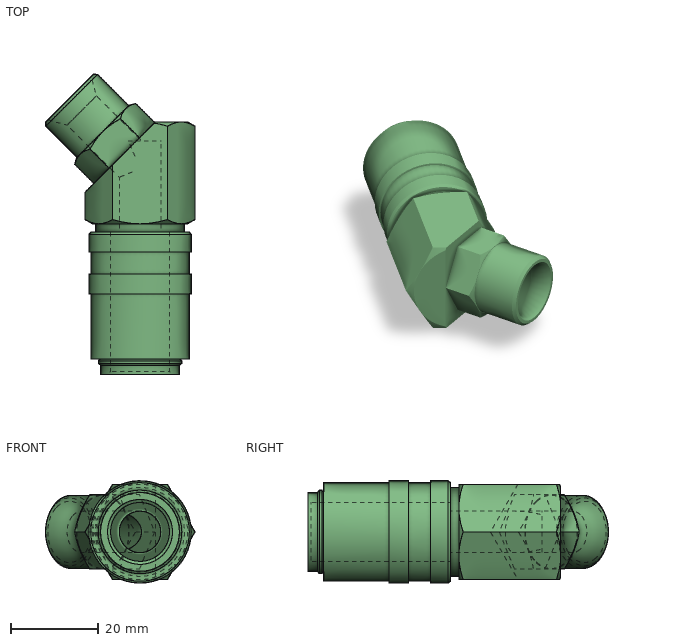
import cadquery as cq
import math


overall_length = 68.9

nose_radius = 9.0
lip_start = 2.15
lip_radius = 9.6
lip_bevel_length = 0.5
lip_back_bevel = 0.4
sleeve_start = 3.6
sleeve_radius = 11.3
ring_radius = 23.5 / 2
front_ring_start = 18.5
front_ring_end = 23.1
rear_ring_start = 28.1
rear_ring_end = 32.1
sleeve_end = 32.7
neck_radius = 10.2

body_start = 34.6
body_end = 57.95
body_across_flats = 21.85
hex_bevel_angle = 30

branch_angle = 45
branch_seat = 5.1
branch_hex_end = 12.05
branch_across_flats = 17.1
nipple_radius = 8.4
nipple_end = 22.9
nipple_bevel_length = 0.7
nipple_bevel_depth = 0.6
nipple_tip_radius = nipple_radius - nipple_bevel_depth

branch_reach = (
    nipple_end * math.cos(math.radians(branch_angle))
    + nipple_tip_radius * math.sin(math.radians(branch_angle))
)
axes_meet = overall_length - branch_reach

socket_radius = 6.75
socket_bevel = 0.7
socket_depth = 32.7
passage_radius = 4.75
passage_end = 53.6
cone_mouth_radius = 7.0
cone_depth = 4.0


def revolve_profile(points):
    """Turn (radius, position) points, closed along the axis, about Y."""
    outline = [(0, points[0][1])] + points + [(0, points[-1][1])]
    return cq.Workplane("XY").polyline(outline).close().revolve(360, (0, 0), (0, 1))


def hex_bar(across_flats, start, end, bevel_start):
    """Hexagonal bar along Y with corners on +X and -X and conically bevelled end corners."""
    corner_radius = across_flats / 2 / math.cos(math.radians(30))
    flat_radius = across_flats / 2
    bevel_length = (corner_radius - flat_radius) * math.tan(math.radians(hex_bevel_angle))
    bar = (
        cq.Workplane("XZ", origin=(0, start, 0))
        .polygon(6, 2 * corner_radius)
        .extrude(start - end)
    )
    envelope = [(corner_radius, end - bevel_length), (flat_radius, end)]
    if bevel_start:
        envelope = [(flat_radius, start), (corner_radius, start + bevel_length)] + envelope
    else:
        envelope = [(corner_radius, start)] + envelope
    return bar.intersect(revolve_profile(envelope))


def place_on_branch(shape):
    """Move a shape built along Y onto the branch axis."""
    return shape.rotate((0, 0, 0), (0, 0, 1), branch_angle).translate((0, axes_meet, 0))


def sleeve():
    """Stepped nose, lip, ringed sleeve and neck."""
    return revolve_profile([
        (nose_radius, 0),
        (nose_radius, lip_start),
        (lip_radius, lip_start + lip_bevel_length),
        (lip_radius, sleeve_start - lip_back_bevel),
        (lip_radius - lip_back_bevel, sleeve_start),
        (sleeve_radius, sleeve_start),
        (sleeve_radius, front_ring_start),
        (ring_radius, front_ring_start),
        (ring_radius, front_ring_end),
        (sleeve_radius, front_ring_end),
        (sleeve_radius, rear_ring_start),
        (ring_radius, rear_ring_start),
        (ring_radius, rear_ring_end),
        (sleeve_radius, sleeve_end),
        (neck_radius, sleeve_end),
        (neck_radius, body_start),
    ])


def elbow_body():
    """Hexagonal body with its corner cut off square to the branch axis."""
    bar = hex_bar(body_across_flats, body_start, body_end, bevel_start=True)
    cutter_size = 2 * body_end
    cutter = cq.Workplane("XY").box(cutter_size, cutter_size, cutter_size)
    cutter = cutter.translate((0, branch_seat + cutter_size / 2, 0))
    return bar.cut(place_on_branch(cutter))


def branch():
    """Hexagonal collar and round nipple."""
    collar = hex_bar(branch_across_flats, branch_seat, branch_hex_end, bevel_start=False)
    nipple = revolve_profile([
        (nipple_radius, branch_seat),
        (nipple_radius, nipple_end - nipple_bevel_length),
        (nipple_tip_radius, nipple_end),
    ])
    return place_on_branch(collar.union(nipple))


def main_bore():
    """Bevelled socket followed by the narrower passage."""
    return revolve_profile([
        (socket_radius + socket_bevel, 0),
        (socket_radius, socket_bevel),
        (socket_radius, socket_depth),
        (passage_radius, socket_depth),
        (passage_radius, passage_end),
    ])


def branch_bore():
    """Passage through the branch with a conical mouth."""
    return place_on_branch(revolve_profile([
        (passage_radius, 0),
        (passage_radius, nipple_end - cone_depth),
        (cone_mouth_radius, nipple_end),
    ]))


solid_fitting = sleeve().union(elbow_body()).union(branch())
result = solid_fitting.cut(main_bore()).cut(branch_bore())